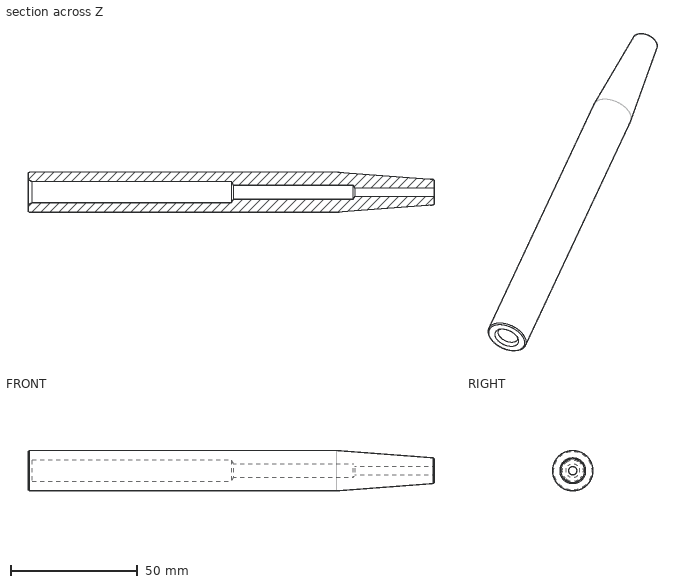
import cadquery as cq
import math

length = 160.0
body_radius = 8.0
taper_start = 121.5
tip_radius = 5.1
edge_chamfer = 0.5

mouth_radius = 5.0
bore_radius = 4.2
middle_radius = 2.7
tip_hole_radius = 1.6
mouth_depth = 1.5
bore_depth = 80.0
middle_depth = 128.0

drill_point_angle = 118.0
cone_slope = math.tan(math.radians(drill_point_angle / 2))
bore_step_end = bore_depth + (bore_radius - middle_radius) / cone_slope
middle_step_end = middle_depth + (middle_radius - tip_hole_radius) / cone_slope


def revolve_about_x(profile):
    """Turn a closed (axial position, radius) profile about the X axis."""
    return cq.Workplane("XZ").polyline(profile).close().revolve(360, (0, 0, 0), (1, 0, 0))


def make_body():
    """Straight barrel with a tapered nose and both end edges broken."""
    return revolve_about_x([
        (0, 0),
        (0, body_radius - edge_chamfer),
        (edge_chamfer, body_radius),
        (taper_start, body_radius),
        (length - edge_chamfer, tip_radius),
        (length, tip_radius - edge_chamfer),
        (length, 0),
    ])


def make_bore():
    """Countersunk mouth and two conical steps down to the tip hole."""
    return revolve_about_x([
        (0, 0),
        (0, mouth_radius),
        (mouth_depth, bore_radius),
        (bore_depth, bore_radius),
        (bore_step_end, middle_radius),
        (middle_depth, middle_radius),
        (middle_step_end, tip_hole_radius),
        (length, tip_hole_radius),
        (length, 0),
    ])


handle = make_body().cut(make_bore())
result = handle.translate((-length / 2, 0, 0))